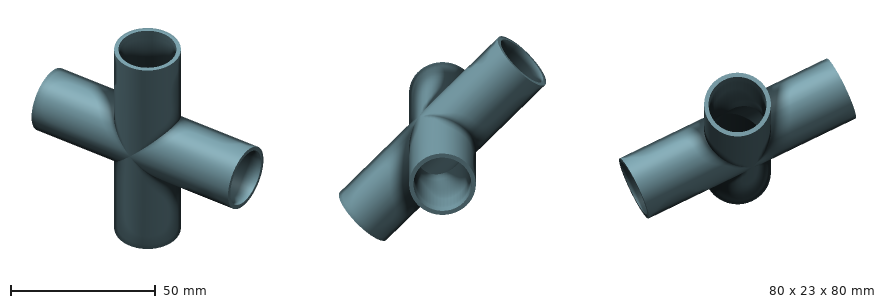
import cadquery as cq

tube_length = 80.0
outer_diameter = 23.0
bore_diameter = 20.0


def cross_of_cylinders(diameter):
    """Two full-length cylinders along X and Z, crossing at their middles."""
    along_x = cq.Workplane("YZ").circle(diameter / 2).extrude(tube_length / 2, both=True)
    along_z = cq.Workplane("XY").circle(diameter / 2).extrude(tube_length / 2, both=True)
    return along_x.union(along_z)


result = cross_of_cylinders(outer_diameter).cut(cross_of_cylinders(bore_diameter))